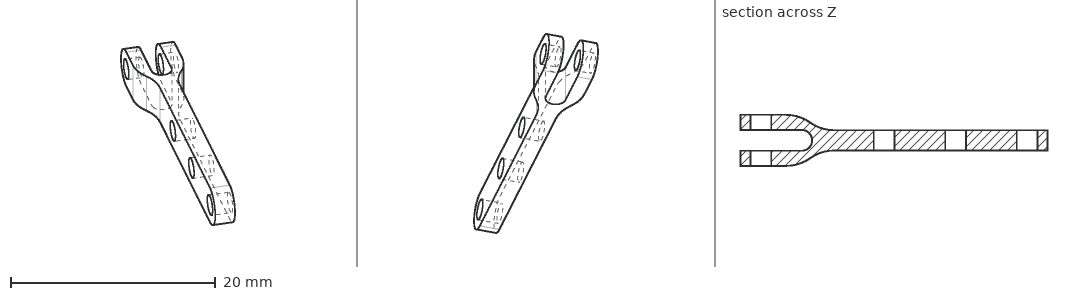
import cadquery as cq
import math

length = 30.0
height = 4.0
fork_width = 5.0
bar_thickness = 2.0
slot_width = 2.0
slot_depth = 7.0
hole_diameter = 2.0
bend_radius = 4.0
shoulder_start = 4.47
hole_pitch = 7.0

end_radius = height / 2
bar_hole_count = 3

half_rise = (fork_width - bar_thickness) / 4
half_run = math.sqrt(bend_radius**2 - (bend_radius - half_rise) ** 2)
shoulder_middle = shoulder_start + half_run
shoulder_end = shoulder_middle + half_run


def make_plan():
    """Fork and bar seen along Z, extruded to the full height."""
    fork_y = fork_width / 2
    middle_y = fork_y - half_rise
    bar_y = bar_thickness / 2
    return (
        cq.Workplane("XY")
        .moveTo(0, -fork_y)
        .lineTo(shoulder_start, -fork_y)
        .radiusArc((shoulder_middle, -middle_y), -bend_radius)
        .radiusArc((shoulder_end, -bar_y), bend_radius)
        .lineTo(length, -bar_y)
        .lineTo(length, bar_y)
        .lineTo(shoulder_end, bar_y)
        .radiusArc((shoulder_middle, middle_y), bend_radius)
        .radiusArc((shoulder_start, fork_y), -bend_radius)
        .lineTo(0, fork_y)
        .close()
        .extrude(height / 2, both=True)
    )


def make_side_envelope():
    """Round-ended outline seen along Y."""
    return (
        cq.Workplane("XZ")
        .center(length / 2, 0)
        .slot2D(length, height)
        .extrude(fork_width, both=True)
    )


def make_slot():
    """Fork slot with a full-round bottom, open at the low-X end."""
    return (
        cq.Workplane("XY")
        .slot2D(2 * slot_depth, slot_width)
        .extrude(height, both=True)
    )


def make_holes():
    """Pin hole through both fork arms and a row of holes through the bar."""
    last_hole_x = length - end_radius
    positions = [(end_radius, 0)]
    for index in range(bar_hole_count):
        positions.append((last_hole_x - index * hole_pitch, 0))
    return (
        cq.Workplane("XZ")
        .pushPoints(positions)
        .circle(hole_diameter / 2)
        .extrude(fork_width, both=True)
    )


result = make_plan().intersect(make_side_envelope()).cut(make_slot()).cut(make_holes())